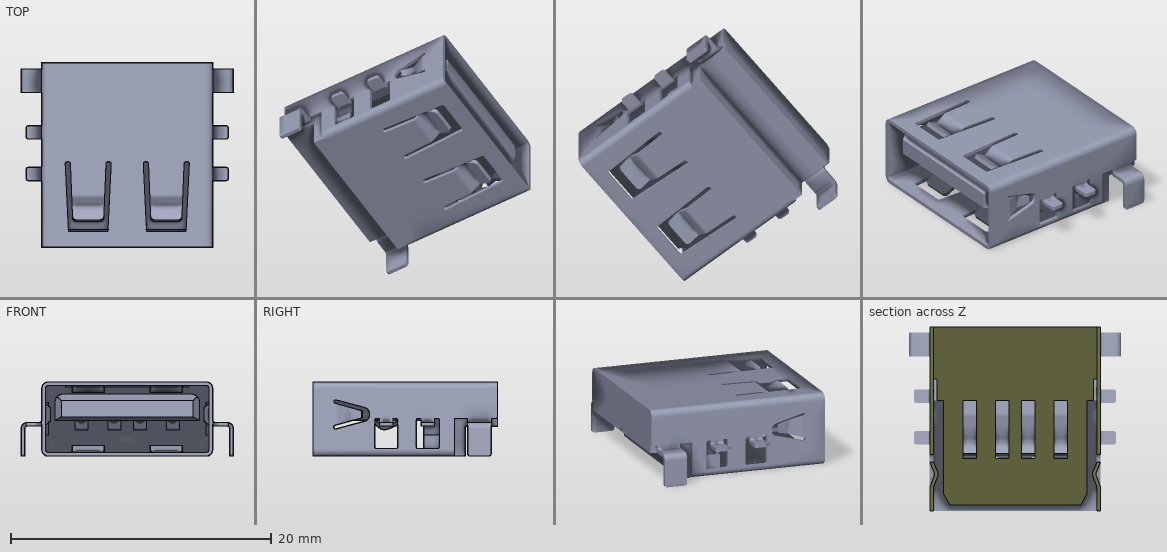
import cadquery as cq
import math

shell_width = 13.14
shell_length = 14.2
shell_height = 5.7
sheet = 0.3
shell_corner_radius = 0.5
half_width = shell_width / 2
inner_half_width = half_width - sheet
wall_middle = half_width - sheet / 2
ceiling = shell_height - sheet
inner_corner_radius = shell_corner_radius - sheet

rear_cutout_front = 10.87
opening_top = 2.9
rear_corner_radius = 0.13
window_bottom = 0.59
window_length = 1.76
window_corner_radius = 0.13
window_fronts = (4.76, 7.95)

overall_width = 16.3
foot_top = 2.59
foot_middle = foot_top - sheet / 2
foot_inside_radius = 0.18
foot_bend_radius = foot_inside_radius + sheet / 2
short_foot_reach = 1.2
short_foot_length = 1.05
short_foot_offset = 0.36
short_foot_corner = 0.21
leg_front = 11.88
leg_length = 1.83
leg_corner = 0.21

spring_x = 3.0
spring_opening_front = 1.2
spring_root = 6.59
spring_opening_front_half = 1.52
spring_opening_root_half = 1.78
spring_tip = 2.05
spring_front_half = 1.15
spring_root_half = 1.37
spring_tip_corner = 0.31
spring_slot_radius = 0.18
spring_bend_start = 3.95
spring_valley = 3.2
spring_dip = 0.59
spring_bend_radius = 0.31

latch_z = 3.21
latch_root = 1.61
latch_bend_start = 1.85
latch_opening_end = 4.35
latch_opening_root_half = 1.15
latch_opening_end_half = 0.42
latch_opening_nose_radius = 0.49
latch_slot_radius = 0.13
latch_tip = 3.8
latch_root_half = 0.88
latch_tip_half = 0.26
latch_tip_corner = 0.13
latch_peak = 2.87
latch_depth = 0.39
latch_bend_radius = 0.31

block_front = 8.51
block_back = 11.72
overhang_bottom = 2.28
tongue_front = 0.49
tongue_half_width = 5.55
tongue_bottom = 2.75
tongue_top = 4.76
tongue_corner_radius = 0.6
nose_length = 0.88
nose_half_width = 5.05
nose_bottom = 3.02
nose_top = 4.25
side_groove_depth = 0.25
side_groove_bottom = 1.63
side_groove_top = 4.1
side_groove_length = 1.63
top_recess_half_width = 4.76
top_recess_depth = 0.11
top_recess_length = 1.63

inner_contact_x = 1.0
outer_contact_x = 3.5
contact_positions = (-outer_contact_x, -inner_contact_x, inner_contact_x, outer_contact_x)
contact_width = 1.0
contact_thickness = 0.3
contact_tail = 10.1
contact_bend_start = 7.42
contact_bump = 5.41
contact_bump_bottom = 1.94
contact_tip = 4.27
contact_tip_z = tongue_bottom + contact_thickness
contact_bend_radius = 0.49
contact_slot_front = 4.08
contact_slot_top = 3.42


def strip(plane, path, thickness, bend_radius, width):
    """Sheet strip centred on a bent path, extruded both ways to the given width.

    bend_radius is the radius of the centreline at every bend.
    """
    half = thickness / 2
    nodes = [cq.Vector(*point) for point in path]
    runs = [(end - start).normalized() for start, end in zip(nodes, nodes[1:])]
    normals = [cq.Vector(-run.y, run.x) for run in runs]

    def bend_arc(index, sign):
        """Start, middle and end of one side's arc where run number index meets the next run."""
        run_in, run_out = runs[index], runs[index + 1]
        normal_in, normal_out = normals[index], normals[index + 1]
        corner = nodes[index + 1]
        turn = math.asin(run_in.cross(run_out).z)
        setback = bend_radius * math.tan(abs(turn) / 2)
        signed_radius = math.copysign(bend_radius, turn)
        tangent_in = corner - run_in * setback
        tangent_out = corner + run_out * setback
        normal_middle = (normal_in + normal_out).normalized()
        middle = tangent_in + normal_in * signed_radius - normal_middle * signed_radius
        return (
            tangent_in + normal_in * sign * half,
            middle + normal_middle * sign * half,
            tangent_out + normal_out * sign * half,
        )

    def side(sign):
        """Start point, bend arcs and end point of the left (+1) or right (-1) side."""
        arcs = [bend_arc(index, sign) for index in range(len(runs) - 1)]
        return nodes[0] + normals[0] * sign * half, arcs, nodes[-1] + normals[-1] * sign * half

    left_start, left_arcs, left_end = side(1)
    right_start, right_arcs, right_end = side(-1)
    outline = cq.Workplane(plane).moveTo(left_start.x, left_start.y)
    for tangent_in, middle, tangent_out in left_arcs:
        outline = outline.lineTo(tangent_in.x, tangent_in.y)
        outline = outline.threePointArc((middle.x, middle.y), (tangent_out.x, tangent_out.y))
    outline = outline.lineTo(left_end.x, left_end.y).lineTo(right_end.x, right_end.y)
    for tangent_in, middle, tangent_out in reversed(right_arcs):
        outline = outline.lineTo(tangent_out.x, tangent_out.y)
        outline = outline.threePointArc((middle.x, middle.y), (tangent_in.x, tangent_in.y))
    outline = outline.lineTo(right_start.x, right_start.y).close()
    solid = outline.extrude(width)
    return solid.translate(solid.plane.zDir * (-width / 2))


def box(x_range, y_range, z_range):
    """Box between two limits along each axis."""
    size = [high - low for low, high in (x_range, y_range, z_range)]
    corner = (x_range[0], y_range[0], z_range[0])
    return cq.Workplane("XY").box(*size, centered=False).translate(corner)


def tapered_plate(near, near_half, far, far_half, height):
    """Trapezoid plate, symmetric about X = 0, from Y = near to Y = far, standing on Z = 0."""
    corners = [(-near_half, near), (near_half, near), (far_half, far), (-far_half, far)]
    return cq.Workplane("XY").polyline(corners).close().extrude(height)


def both_sides(body):
    """The body together with its mirror image across the middle plane X = 0."""
    return body.union(body.mirror("YZ"))


def make_tube():
    """Rounded rectangular tube with the lower rear part of its walls and floor removed."""
    tube = cq.Workplane("XY").box(shell_width, shell_length, shell_height, centered=(True, False, False))
    tube = tube.edges("|Y").fillet(shell_corner_radius)
    bore = box((-inner_half_width, inner_half_width), (0, shell_length), (sheet, ceiling))
    tube = tube.cut(bore.edges("|Y").fillet(inner_corner_radius))
    cutout = box((-half_width, half_width), (rear_cutout_front, shell_length), (0, opening_top))
    tube = tube.cut(cutout)
    return tube.edges("|X").edges(">Y").edges("<Z").fillet(rear_corner_radius)


def make_side_window(front):
    window = box((-half_width, half_width), (front, front + window_length), (window_bottom, opening_top))
    return window.edges("|X").fillet(window_corner_radius)


def make_short_foot(front):
    """Right-hand foot that turns straight out of a side window."""
    path = [
        (wall_middle, opening_top),
        (wall_middle, foot_middle),
        (half_width + short_foot_reach, foot_middle),
    ]
    foot = strip("XZ", path, sheet, foot_bend_radius, short_foot_length)
    foot = foot.edges("|Z").edges(">X").fillet(short_foot_corner)
    return foot.translate((0, front + short_foot_length / 2, 0))


def make_leg():
    """Right-hand leg that turns out of the rear cutout and then down to the bottom plane."""
    leg_middle = overall_width / 2 - sheet / 2
    path = [
        (wall_middle, opening_top),
        (wall_middle, foot_middle),
        (leg_middle, foot_middle),
        (leg_middle, 0),
    ]
    leg = strip("XZ", path, sheet, foot_bend_radius, leg_length)
    leg = leg.edges("|X").edges("<Z").fillet(leg_corner)
    return leg.translate((0, leg_front + leg_length / 2, 0))


def make_spring_parts():
    """Opening and spring for the shell top, centred on X = 0."""
    opening = tapered_plate(
        spring_opening_front, spring_opening_front_half, spring_root, spring_opening_root_half, shell_height
    )
    opening = opening.edges("|Z").edges("<Y").fillet(window_corner_radius)
    plan = tapered_plate(spring_opening_front, spring_front_half, spring_root, spring_root_half, shell_height)
    slot = opening.cut(plan).edges("|Z").edges(">Y").fillet(spring_slot_radius)
    middle = shell_height - sheet / 2
    path = [
        (spring_root, middle),
        (spring_bend_start, middle),
        (spring_valley, middle - spring_dip),
        (spring_tip, middle),
    ]
    spring = strip("YZ", path, sheet, spring_bend_radius, 2 * spring_root_half).intersect(plan)
    spring = spring.faces("<Y").edges("not |X").fillet(spring_tip_corner)
    roof_zone = box((-half_width, half_width), (0, spring_root), (shell_height / 2, shell_height))
    return slot.union(plan).intersect(roof_zone), spring


def make_latch_parts():
    """Opening and inward latch spring for the right-hand wall."""
    opening = tapered_plate(
        latch_root, latch_opening_root_half, latch_opening_end, latch_opening_end_half, half_width
    )
    opening = opening.edges("|Z").edges(">Y").fillet(latch_opening_nose_radius)
    plan = tapered_plate(latch_root, latch_root_half, latch_tip, latch_tip_half, half_width)
    slot = opening.cut(plan).edges("|Z").edges("<Y").fillet(latch_slot_radius)
    plan = plan.edges("|Z").edges(">Y").fillet(latch_tip_corner)

    def onto_wall(body):
        return body.rotate((0, 0, 0), (0, 1, 0), 90).translate((0, 0, latch_z))

    path = [
        (wall_middle, latch_root),
        (wall_middle, latch_bend_start),
        (wall_middle - latch_depth, latch_peak),
        (wall_middle, latch_tip),
    ]
    spring = strip("XY", path, sheet, latch_bend_radius, 2 * latch_root_half).translate((0, 0, latch_z))
    return onto_wall(slot.union(plan)), spring.intersect(onto_wall(plan))


def make_shell():
    shell = make_tube()
    for front in window_fronts:
        shell = shell.cut(make_side_window(front))
        shell = shell.union(both_sides(make_short_foot(front + short_foot_offset)))
    shell = shell.union(both_sides(make_leg()))

    spring_opening, spring = make_spring_parts()
    middle_height = (0, 0, shell_height / 2)
    for x in (-spring_x, spring_x):
        top_opening = spring_opening.translate((x, 0, 0))
        top_spring = spring.translate((x, 0, 0))
        shell = shell.cut(top_opening).cut(top_opening.mirror("XY", middle_height))
        shell = shell.union(top_spring).union(top_spring.mirror("XY", middle_height))

    latch_opening, latch = make_latch_parts()
    return shell.cut(both_sides(latch_opening)).union(both_sides(latch))


def make_contact(x):
    """Flat contact bent into a bump below the tongue, with its tail set in the block."""
    middle = tongue_bottom + contact_thickness / 2
    path = [
        (contact_tail, middle),
        (contact_bend_start, middle),
        (contact_bump, contact_bump_bottom + contact_thickness / 2),
        (contact_tip, contact_tip_z),
    ]
    contact = strip("YZ", path, contact_thickness, contact_bend_radius, contact_width)
    return contact.translate((x, 0, 0))


def make_block():
    """Rear block with its overhang, full-height base, side grooves and shallow top recess."""
    block = box((-inner_half_width, inner_half_width), (block_front, shell_length), (sheet, ceiling))
    block = block.edges("|Y").fillet(inner_corner_radius)
    base = box((-inner_half_width, inner_half_width), (rear_cutout_front, block_back), (0, overhang_bottom))
    under = box((-inner_half_width, inner_half_width), (block_back, shell_length), (0, overhang_bottom))
    block = block.union(base).cut(under)
    groove = box(
        (inner_half_width - side_groove_depth, inner_half_width),
        (block_front, block_front + side_groove_length),
        (side_groove_bottom, side_groove_top),
    )
    recess = box(
        (-top_recess_half_width, top_recess_half_width),
        (block_front, block_front + top_recess_length),
        (ceiling - top_recess_depth, ceiling),
    )
    return block.cut(both_sides(groove)).cut(recess)


def make_tongue():
    """Tongue with a tapered nose and rounded upper corners."""
    nose_back = tongue_front + nose_length
    bar = box((-tongue_half_width, tongue_half_width), (nose_back, block_front), (tongue_bottom, tongue_top))
    nose = (
        cq.Workplane("XZ", origin=(0, nose_back, 0))
        .center(0, (tongue_bottom + tongue_top) / 2)
        .rect(2 * tongue_half_width, tongue_top - tongue_bottom)
        .workplane(offset=nose_length)
        .center(0, (nose_bottom + nose_top - tongue_bottom - tongue_top) / 2)
        .rect(2 * nose_half_width, nose_top - nose_bottom)
        .loft(ruled=True)
    )
    envelope = box(
        (-tongue_half_width, tongue_half_width), (tongue_front, block_front), (tongue_bottom, tongue_top)
    )
    envelope = envelope.edges("|Y").edges(">Z").fillet(tongue_corner_radius)
    return bar.union(nose).intersect(envelope)


def make_insulator(contacts):
    """Block and tongue with a slot and a matching hole for every contact."""
    insulator = make_block().union(make_tongue())
    for x in contact_positions:
        slot = box(
            (x - contact_width / 2, x + contact_width / 2),
            (contact_slot_front, block_front),
            (tongue_bottom, contact_slot_top),
        )
        insulator = insulator.cut(slot)
    for contact in contacts:
        insulator = insulator.cut(contact)
    return insulator


shell = make_shell()
contacts = [make_contact(x) for x in contact_positions]
insulator = make_insulator(contacts)

result = cq.Compound.makeCompound([shell.val(), insulator.val(), *[contact.val() for contact in contacts]])